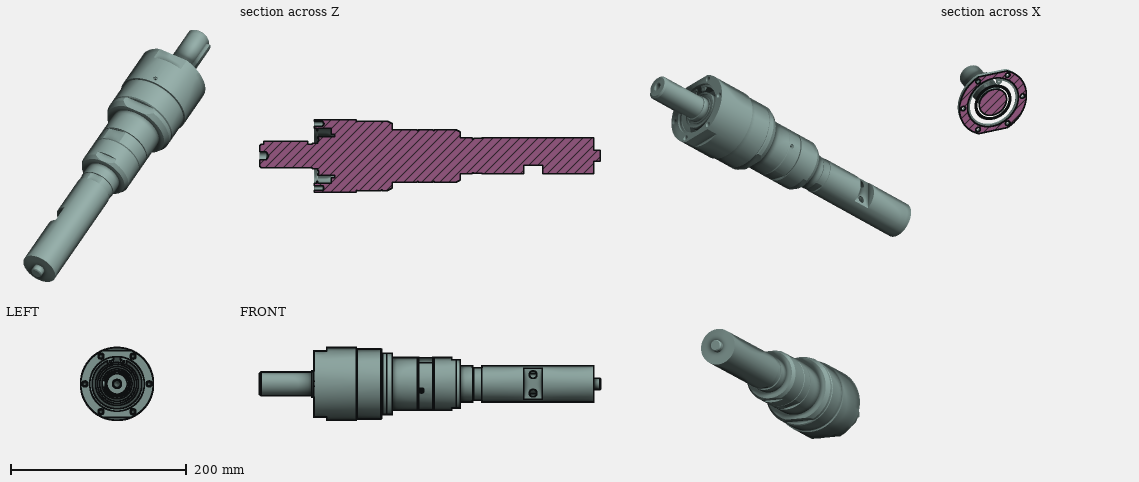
import cadquery as cq
import math

LENGTH = 388.0
CUT = 116.5

COLLAR_START = 59.8
BODY_START = 62.0
CAP_START = 110.0
CLAMP_NUT_START = 139.3
BARREL_START = 151.5
RING_START = 179.5
REAR_BARREL_START = 198.5
REAR_NUT_START = 219.0
TUBE_START = 228.5
NECK_START = 242.5
NECK_END = 253.0
TUBE_END = 380.2

SHAFT_RADIUS = 13.5
COLLAR_RADIUS = 30.0 / 2
BODY_RADIUS = 41.5
CAP_RADIUS = 40.0
BARREL_RADIUS = 60.0 / 2
TUBE_RADIUS = 41.5 / 2
NECK_RADIUS = 20.0
NECK_GROOVE_RADIUS = 19.5
NECK_GROOVE_WIDTH = 1.0
STUB_RADIUS = 6.5

EDGE_CHAMFER = 1.0
RING_CHAMFER = 1.5
SHAFT_CHAMFER = 2.0

BODY_FLAT = 37.5
BODY_FLAT_END = 76.5
CLAMP_NUT_FLAT = 35.0
RING_FLAT = 28.0
RING_FLAT_TILT = 15.0
REAR_NUT_FLAT = 27.5
NECK_FLAT = 18.5

CLAMP_NUT_TAPER_START = 145.0
CLAMP_NUT_END_RADIUS = 37.0
REAR_NUT_TAPER_START = 224.0

KEY_START = 4.5
KEY_END = 55.5
KEY_WIDTH = 8.0
KEY_TOP = 17.0
CENTRE_HOLE_DIAMETER = 8.5
CENTRE_HOLE_DEPTH = 7.8
DRILL_POINT_ANGLE = 118.0
MOUTH_CHAMFER = 0.8

FACE_HOLE_COUNT = 6
FACE_HOLE_CIRCLE_RADIUS = 36.5
FACE_HOLE_DIAMETER = 5.0
FACE_HOLE_DEPTH = 9.7

SEAT_RADIUS = 31.0
SEAT_DEPTH = 19.5
RACE_GAP_OUTER_RADIUS = 24.5
RACE_GAP_INNER_RADIUS = 22.0
RACE_GAP_DEPTH = 23.3
INNER_RACE_RECESS = 4.3
SEAL_GROOVE_OUTER_RADIUS = 19.8
SEAL_GROOVE_INNER_RADIUS = 17.0
SEAL_GROOVE_DEPTH = 1.0
SNAP_RING_INNER_RADIUS = 28.5
SNAP_RING_RECESS = 3.0
SNAP_RING_THICKNESS = 1.5
SNAP_RING_OPENING = 7.8
LUG_RADIUS = 3.5
LUG_HOLE_DIAMETER = 2.5
LUG_CIRCLE_RADIUS = 26.5
LUG_ANGLE = 17.0

BODY_SCREW_X = 104.8
RING_SCREW_X = 184.3
RING_SCREW_ANGLE = RING_FLAT_TILT + 90
SCREW_DIAMETER = 5.5
SCREW_RECESS = 1.5
SOCKET_DIAMETER = 2.5
SOCKET_DEPTH = 3.0

NOTCH_START = 300.7
NOTCH_END = 321.5
NOTCH_FLOOR = 11.0
PORT_DIAMETER = 8.5
PORT_OFFSET = 10.5
CORE_RADIUS = 11.3


def turned(start, end, radius, front_chamfer=0, rear_chamfer=0):
    """Cylinder on the X axis with optional chamfers on its two ends."""
    body = cq.Workplane("YZ").workplane(offset=start).circle(radius).extrude(end - start)
    if front_chamfer:
        body = body.faces("<X").chamfer(front_chamfer)
    if rear_chamfer:
        body = body.faces(">X").chamfer(rear_chamfer)
    return body


def tapered(start, end, start_radius, end_radius):
    """Truncated cone on the X axis."""
    cone = cq.Solid.makeCone(
        start_radius, end_radius, end - start, cq.Vector(start, 0, 0), cq.Vector(1, 0, 0)
    )
    return cq.Workplane(obj=cone)


def with_flats(body, start, end, distance, tilt=0):
    """Cut two opposite flats, parallel to the X axis, tilted from the Z direction towards -Y."""
    for angle in (tilt, tilt + 180):
        block = cq.Workplane("XY").box(end - start, CUT, CUT, centered=(False, True, False))
        block = block.translate((start, 0, distance)).rotate((0, 0, 0), (1, 0, 0), angle)
        body = body.cut(block)
    return body


def drill_along_x(x, y, z, diameter, depth):
    """Cutter for a hole running in +X, with a chamfered mouth and a conical drill point."""
    radius = diameter / 2
    point = radius / math.tan(math.radians(DRILL_POINT_ANGLE / 2))
    profile = [
        (x, 0),
        (x + depth + point, 0),
        (x + depth, radius),
        (x + MOUTH_CHAMFER, radius),
        (x, radius + MOUTH_CHAMFER),
    ]
    drill = cq.Workplane("XY").polyline(profile).close().revolve(360, (0, 0, 0), (1, 0, 0))
    return drill.translate((0, y, z))


def set_screw_recess(x, angle, surface_radius):
    """Cutter for a radial set screw: its sunk head and drive socket; angle from +Z towards -Y."""
    head_level = surface_radius - SCREW_RECESS
    head = cq.Workplane("XY").circle(SCREW_DIAMETER / 2).extrude(2 * SCREW_RECESS)
    socket = cq.Workplane("XY").circle(SOCKET_DIAMETER / 2).extrude(-SOCKET_DEPTH)
    cutter = head.union(socket).translate((x, 0, head_level))
    return cutter.rotate((0, 0, 0), (1, 0, 0), angle)


def front_body():
    body = turned(BODY_START, CAP_START, BODY_RADIUS)
    body = with_flats(body, BODY_START, BODY_FLAT_END, BODY_FLAT)
    for i in range(FACE_HOLE_COUNT):
        angle = math.radians(i * 360 / FACE_HOLE_COUNT)
        y = FACE_HOLE_CIRCLE_RADIUS * math.cos(angle)
        z = FACE_HOLE_CIRCLE_RADIUS * math.sin(angle)
        body = body.cut(drill_along_x(BODY_START, y, z, FACE_HOLE_DIAMETER, FACE_HOLE_DEPTH))
    body = body.cut(set_screw_recess(BODY_SCREW_X, 0, BODY_RADIUS))
    return bearing_seat(body)


def bearing_seat(body):
    """Open the front face onto a bearing held by a snap ring."""
    seat_floor = BODY_START + SEAT_DEPTH
    gap_floor = BODY_START + RACE_GAP_DEPTH
    body = body.cut(turned(BODY_START, seat_floor, SEAT_RADIUS))
    body = body.cut(turned(BODY_START, gap_floor, RACE_GAP_OUTER_RADIUS))
    race_face = BODY_START + INNER_RACE_RECESS
    groove_floor = race_face + SEAL_GROOVE_DEPTH
    inner_race = turned(race_face, gap_floor, RACE_GAP_INNER_RADIUS)
    inner_race = inner_race.cut(turned(race_face, groove_floor, SEAL_GROOVE_OUTER_RADIUS))
    inner_race = inner_race.union(turned(race_face, groove_floor, SEAL_GROOVE_INNER_RADIUS))
    return body.union(inner_race).union(snap_ring())


def snap_ring():
    """Open ring in the bearing seat, with a drilled lug on each side of the opening."""
    start = BODY_START + SNAP_RING_RECESS
    end = start + SNAP_RING_THICKNESS
    ring = turned(start, end, SEAT_RADIUS).cut(turned(start, end, SNAP_RING_INNER_RADIUS))
    opening = cq.Workplane("XY").box(CUT, SNAP_RING_OPENING, CUT, centered=(False, True, False))
    ring = ring.cut(opening)
    for side in (-1, 1):
        angle = math.radians(side * LUG_ANGLE)
        y = LUG_CIRCLE_RADIUS * math.sin(angle)
        z = LUG_CIRCLE_RADIUS * math.cos(angle)
        ring = ring.union(turned(start, end, LUG_RADIUS).translate((0, y, z)))
        ring = ring.cut(turned(start, end, LUG_HOLE_DIAMETER / 2).translate((0, y, z)))
    return ring


def output_shaft():
    shaft = turned(0, BODY_START + RACE_GAP_DEPTH, SHAFT_RADIUS, front_chamfer=SHAFT_CHAMFER)
    shaft = shaft.union(turned(COLLAR_START, BODY_START + RACE_GAP_DEPTH, COLLAR_RADIUS))
    key_length = KEY_END - KEY_START
    key = cq.Workplane("XZ").center((KEY_START + KEY_END) / 2, 0)
    key = key.slot2D(key_length, KEY_WIDTH).extrude(-KEY_TOP)
    shaft = shaft.union(key)
    return shaft.cut(drill_along_x(0, 0, 0, CENTRE_HOLE_DIAMETER, CENTRE_HOLE_DEPTH))


def clamp_nut():
    nut = turned(CLAMP_NUT_START, CLAMP_NUT_TAPER_START, CAP_RADIUS, front_chamfer=EDGE_CHAMFER)
    nut = nut.union(
        tapered(CLAMP_NUT_TAPER_START, BARREL_START, CAP_RADIUS, CLAMP_NUT_END_RADIUS)
    )
    return with_flats(nut, CLAMP_NUT_START, BARREL_START, CLAMP_NUT_FLAT)


def adjusting_ring():
    ring = turned(RING_START, REAR_BARREL_START, BARREL_RADIUS, RING_CHAMFER, RING_CHAMFER)
    flat_start = RING_START + RING_CHAMFER
    flat_end = REAR_BARREL_START - RING_CHAMFER
    ring = with_flats(ring, flat_start, flat_end, RING_FLAT, RING_FLAT_TILT)
    return ring.cut(set_screw_recess(RING_SCREW_X, RING_SCREW_ANGLE, BARREL_RADIUS))


def rear_nut():
    nut = turned(REAR_NUT_START, REAR_NUT_TAPER_START, BARREL_RADIUS)
    nut = nut.union(tapered(REAR_NUT_TAPER_START, TUBE_START, BARREL_RADIUS, REAR_NUT_FLAT))
    return with_flats(nut, REAR_NUT_START, TUBE_START, REAR_NUT_FLAT)


def rear_tube():
    groove_end = NECK_START + NECK_GROOVE_WIDTH
    neck = turned(groove_end, NECK_END, NECK_RADIUS)
    neck = neck.union(turned(NECK_START, groove_end, NECK_GROOVE_RADIUS))
    neck = with_flats(neck, NECK_START, NECK_END, NECK_FLAT)
    tube = turned(TUBE_START, NECK_START, TUBE_RADIUS).union(neck)
    tube = tube.union(turned(NECK_END, TUBE_END, TUBE_RADIUS))
    notch_length = NOTCH_END - NOTCH_START
    notch = cq.Workplane("XY").box(notch_length, CUT, CUT, centered=(False, False, True))
    tube = tube.cut(notch.translate((NOTCH_START, -NOTCH_FLOOR - CUT, 0)))
    ports = cq.Workplane("XZ").center((NOTCH_START + NOTCH_END) / 2, 0)
    ports = ports.pushPoints([(0, -PORT_OFFSET), (0, PORT_OFFSET)])
    ports = ports.circle(PORT_DIAMETER / 2).extrude(TUBE_RADIUS)
    return tube.cut(ports.cut(turned(NOTCH_START, NOTCH_END, CORE_RADIUS)))


sections = [
    front_body(),
    turned(CAP_START, CLAMP_NUT_START, CAP_RADIUS, EDGE_CHAMFER, EDGE_CHAMFER),
    clamp_nut(),
    turned(BARREL_START, RING_START, BARREL_RADIUS),
    adjusting_ring(),
    turned(REAR_BARREL_START, REAR_NUT_START, BARREL_RADIUS),
    rear_nut(),
    rear_tube(),
    turned(TUBE_END, LENGTH, STUB_RADIUS, rear_chamfer=EDGE_CHAMFER),
]
result = output_shaft()
for section in sections:
    result = result.union(section)